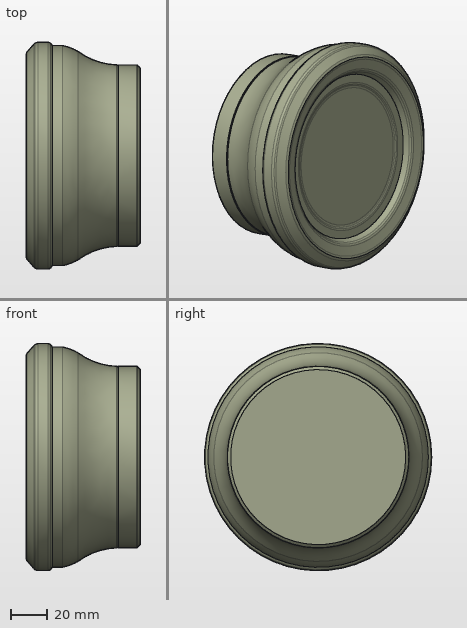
import cadquery as cq
import math

total_length = 62.9

ring_radius = 62.5
front_chamfer_radius = 57.2
front_chamfer_start = 0.6
front_crest_radius = 55.9
dish_outer_radius = 54.6
dish_outer_depth = 0.2
dish_inner_radius = 49.2
dish_inner_depth = 1.4
lip_middle_radius = 48.1
lip_middle_depth = 1.9
wall_top_radius = 47.2
wall_top_depth = 2.7
wall_foot_radius = 45.6
front_chamfer_end = 4.2
front_chamfer_end_radius = 61.4
shoulder_middle = 5.0
shoulder_middle_radius = 62.0
shoulder_start = 6.5
shoulder_end = 12.1
back_round_middle = 13.4
back_round_middle_radius = 62.0
ring_end = 14.5

flange_radius = 60.6
floor_depth = 5.7
flange_end = 20.1
convex_end = 28.6
convex_end_radius = 57.4
waist_middle = 38.5
waist_middle_radius = 52.1
waist_end = 50.0
neck_radius = 99.6 / 2
collar_start = 50.7
collar_radius = 100.0 / 2
collar_chamfer = 1.9

recess_depth = 0.6
recess_lip_radius = 41.1
recess_wall_top_radius = 40.1
recess_wall_foot_radius = 39.4
recess_floor_radius = 38.1
recess_round_depth = 0.1

round_bulge = 0.06
convex_bulge = 0.4
recess_bulge = 0.02


def turn(profile):
    """Revolve a closed (X, radius) profile about the X axis."""
    return profile.close().revolve(360, (0, 0, 0), (1, 0, 0))


def bulge_point(start, end, bulge):
    """Middle of an arc from start to end, offset to the left of the chord by bulge."""
    dx = end[0] - start[0]
    dy = end[1] - start[1]
    chord = math.hypot(dx, dy)
    return (
        (start[0] + end[0]) / 2 - bulge * dy / chord,
        (start[1] + end[1]) / 2 + bulge * dx / chord,
    )


def add_arc(profile, start, end, bulge):
    """Extend the profile from start to end by a bulged arc."""
    return profile.threePointArc(bulge_point(start, end, bulge), end)


def make_ring():
    wall_top = (wall_top_depth, wall_top_radius)
    lip_middle = (lip_middle_depth, lip_middle_radius)
    dish_inner = (dish_inner_depth, dish_inner_radius)
    dish_outer = (dish_outer_depth, dish_outer_radius)
    crest = (0, front_crest_radius)
    chamfer_start = (front_chamfer_start, front_chamfer_radius)
    chamfer_end = (front_chamfer_end, front_chamfer_end_radius)
    shoulder_mid = (shoulder_middle, shoulder_middle_radius)
    shoulder = (shoulder_start, ring_radius)
    back_start = (shoulder_end, ring_radius)
    back_mid = (back_round_middle, back_round_middle_radius)
    back_end = (ring_end, flange_radius)

    profile = cq.Workplane("XY").moveTo(floor_depth, wall_foot_radius).lineTo(*wall_top)
    profile = add_arc(profile, wall_top, lip_middle, round_bulge)
    profile = add_arc(profile, lip_middle, dish_inner, round_bulge)
    profile = profile.lineTo(*dish_outer)
    profile = add_arc(profile, dish_outer, crest, round_bulge)
    profile = add_arc(profile, crest, chamfer_start, round_bulge)
    profile = profile.lineTo(*chamfer_end)
    profile = add_arc(profile, chamfer_end, shoulder_mid, round_bulge)
    profile = add_arc(profile, shoulder_mid, shoulder, round_bulge)
    profile = profile.lineTo(*back_start)
    profile = add_arc(profile, back_start, back_mid, round_bulge)
    profile = add_arc(profile, back_mid, back_end, round_bulge)
    profile = profile.lineTo(floor_depth, flange_radius)
    return turn(profile)


def make_housing():
    convex_start = (flange_end, flange_radius)
    convex_finish = (convex_end, convex_end_radius)
    profile = (
        cq.Workplane("XY")
        .moveTo(floor_depth, 0)
        .lineTo(floor_depth, flange_radius)
        .lineTo(*convex_start)
    )
    profile = add_arc(profile, convex_start, convex_finish, convex_bulge)
    profile = (
        profile
        .threePointArc((waist_middle, waist_middle_radius), (waist_end, collar_radius))
        .lineTo(waist_end, neck_radius)
        .lineTo(collar_start, neck_radius)
        .lineTo(collar_start, collar_radius)
        .lineTo(total_length - collar_chamfer, collar_radius)
        .lineTo(total_length, collar_radius - collar_chamfer)
        .lineTo(total_length, 0)
    )
    return turn(profile).cut(make_recess())


def make_recess():
    """Shallow dish whose sloping wall is rounded at its lip and at its foot."""
    lip = (floor_depth, recess_lip_radius)
    wall_start = (floor_depth + recess_round_depth, recess_wall_top_radius)
    wall_end = (floor_depth + recess_depth - recess_round_depth, recess_wall_foot_radius)
    foot = (floor_depth + recess_depth, recess_floor_radius)
    profile = cq.Workplane("XY").moveTo(floor_depth, 0).lineTo(*lip)
    profile = add_arc(profile, lip, wall_start, -recess_bulge)
    profile = profile.lineTo(*wall_end)
    profile = add_arc(profile, wall_end, foot, recess_bulge)
    profile = profile.lineTo(floor_depth + recess_depth, 0)
    return turn(profile)


ring = make_ring()
housing = make_housing()

result = cq.Compound.makeCompound([ring.val(), housing.val()])